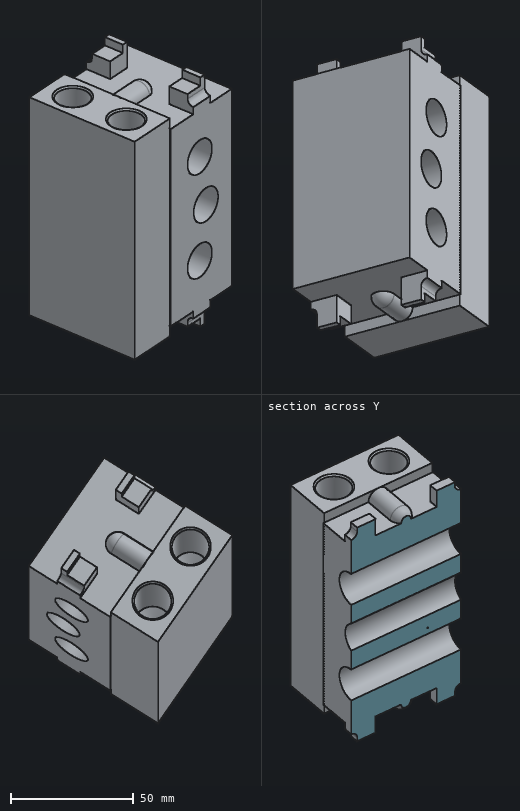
import cadquery as cq
import math

body_width = 56.0
body_depth = 40.0
body_height = 95.0

front_width = 55.2
front_depth = 23.1
front_height = 105.0

tab_width = 12.5
tab_front_y = 14.75
tab_back_y = 26.0
tab_top_z = 56.0
lip_thickness = 2.9
lip_top_z = 60.0
cove_radius = 3.0
cove_top_z = 53.9

rib_radius = 5.0

cross_bore_diameter = 16.0
cross_bore_pitch = 25.0
outer_bore_y = body_depth - 21.0
middle_bore_y = body_depth - 17.0
cross_bore_axes = [
    (outer_bore_y, -cross_bore_pitch),
    (middle_bore_y, 0.0),
    (outer_bore_y, cross_bore_pitch),
]

port_diameter = 15.2
port_mouth_diameter = 16.7
port_depth = 30.0
port_tip_angle = 118.0
port_spacing = 28.0
port_y = -front_depth / 2


def make_blocks():
    """Rear body joined to the taller, slightly narrower front block."""
    body = cq.Workplane("XY").box(body_width, body_depth, body_height)
    body = body.translate((0, body_depth / 2, 0))
    front = cq.Workplane("XY").box(front_width, front_depth, front_height)
    front = front.translate((0, -front_depth / 2, 0))
    return body.union(front)


def make_top_tab():
    """Tab at the top of the -X side, with a coved outer edge and a raised rear lip."""
    root_z = body_height / 2
    outer_x = -body_width / 2
    step_x = outer_x + cove_radius
    inner_x = outer_x + tab_width
    cove_middle = cove_radius * math.sqrt(0.5)
    tab_depth = tab_back_y - tab_front_y

    foot = (
        cq.Workplane("XZ", origin=(0, tab_front_y, 0))
        .moveTo(outer_x, root_z)
        .lineTo(outer_x, cove_top_z - cove_radius)
        .threePointArc((outer_x + cove_middle, cove_top_z - cove_middle), (step_x, cove_top_z))
        .lineTo(step_x, tab_top_z)
        .lineTo(inner_x, tab_top_z)
        .lineTo(inner_x, root_z)
        .close()
        .extrude(-tab_depth)
    )
    lip = cq.Workplane("XY").box(
        inner_x - step_x, lip_thickness, lip_top_z - root_z, centered=False
    )
    lip = lip.translate((step_x, tab_back_y - lip_thickness, root_z))
    return foot.union(lip)


def make_top_rib():
    """Cylinder with a spherical nose, its axis in the top face of the rear body."""
    shaft = cq.Workplane("XZ").circle(rib_radius).extrude(-tab_front_y)
    nose = cq.Workplane("XY").sphere(rib_radius).translate((0, tab_front_y, 0))
    return shaft.union(nose).translate((0, 0, body_height / 2))


def make_cross_bore(bore_y, bore_z):
    """Cylinder running along X through the full width of the rear body."""
    start = (-body_width / 2, bore_y, bore_z)
    return cq.Workplane("YZ", origin=start).circle(cross_bore_diameter / 2).extrude(body_width)


def make_port(port_x):
    """Blind drilled port with a chamfered mouth and a conical tip."""
    radius = port_diameter / 2
    mouth_radius = port_mouth_diameter / 2
    chamfer = mouth_radius - radius
    tip_length = radius / math.tan(math.radians(port_tip_angle / 2))
    profile = (
        cq.Workplane("XZ")
        .moveTo(0, 0)
        .lineTo(mouth_radius, 0)
        .lineTo(radius, -chamfer)
        .lineTo(radius, -port_depth)
        .lineTo(0, -port_depth - tip_length)
        .close()
    )
    cutter = profile.revolve(360, (0, 0, 0), (0, 1, 0))
    return cutter.translate((port_x, port_y, front_height / 2))


def build_part():
    part = make_blocks()

    tab = make_top_tab()
    top_features = tab.union(tab.mirror("YZ")).union(make_top_rib())
    part = part.union(top_features).union(top_features.mirror("XY"))

    for bore_y, bore_z in cross_bore_axes:
        part = part.cut(make_cross_bore(bore_y, bore_z))
    for port_x in (-port_spacing / 2, port_spacing / 2):
        part = part.cut(make_port(port_x))
    return part


result = build_part()